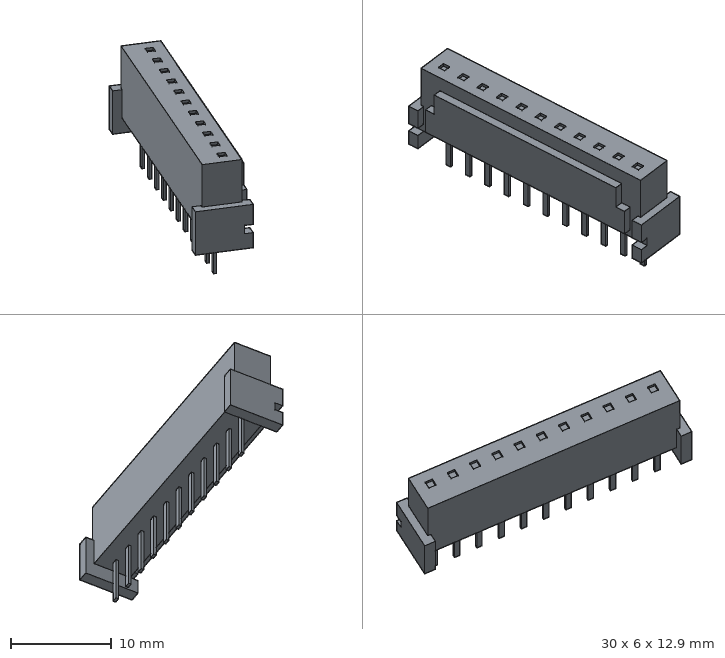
import cadquery as cq


length = 30.0
depth = 6.0
height = 12.9

body_length = 28.3
body_depth = 4.15
body_height = 7.8
body_setback = 0.9

flange_thickness = 1.2
flange_top = -4.68
flange_height = 4.8
notch_height = 0.9

key_width = 25.62
key_shoulder_width = 23.4
key_top = -1.62
key_shoulder = -4.05

position_count = 11
row_span = 25.0
pin_width = 0.6
pin_thickness = 0.3
pin_y = -3.3
socket_size = 0.8
socket_y = -2.5
socket_depth = 0.3

pitch = row_span / (position_count - 1)
positions_x = [-row_span / 2 + i * pitch for i in range(position_count)]
body_front = -body_setback - body_depth
body_bottom = -body_height
notch_top = body_bottom + notch_height


def block(x_range, y_range, z_range):
    """Axis-aligned box spanning the given (low, high) ranges."""
    lows, highs = zip(x_range, y_range, z_range)
    sizes = [high - low for low, high in zip(lows, highs)]
    return cq.Workplane("XY").box(*sizes, centered=False).translate(lows)


def centred(middle, size):
    """Range of the given size around a middle value."""
    return (middle - size / 2, middle + size / 2)


def make_body():
    return block(centred(0, body_length), (body_front, -body_setback), (body_bottom, 0))


def make_flange(x_outer, x_inner):
    """End plate with a rectangular notch in its back edge, level with the body bottom."""
    x_range = (min(x_outer, x_inner), max(x_outer, x_inner))
    plate = block(x_range, (-depth, 0), (flange_top - flange_height, flange_top))
    notch = block(x_range, (-body_setback, 0), (body_bottom, notch_top))
    return plate.cut(notch)


def make_key():
    """Two-step rib filling the setback behind the body, ending level with the notch top."""
    y_range = (-body_setback, 0)
    lower = block(centred(0, key_width), y_range, (notch_top, key_shoulder))
    upper = block(centred(0, key_shoulder_width), y_range, (key_shoulder, key_top))
    return lower.union(upper)


def make_pin(x):
    return block(centred(x, pin_width), centred(pin_y, pin_thickness), (-height, body_bottom))


def make_socket(x):
    return block(centred(x, socket_size), centred(socket_y, socket_size), (-socket_depth, 0))


result = make_body().union(make_key())
for side in (-1, 1):
    x_outer = side * length / 2
    result = result.union(make_flange(x_outer, x_outer - side * flange_thickness))
for x in positions_x:
    result = result.union(make_pin(x))
    result = result.cut(make_socket(x))